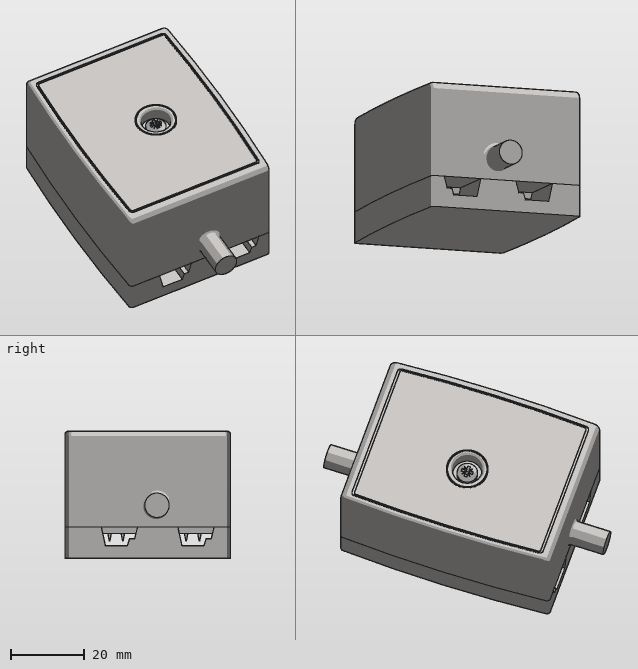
import cadquery as cq
import math


LENGTH = 60.0
MID_WIDTH = 44.97
END_WIDTH = 43.0
HEIGHT = 34.5
SPLIT_Z = 8.5
RIM_RADIUS = 1.0
END_EDGE_RADIUS = 2.0

BULGE = (MID_WIDTH - END_WIDTH) / 2
SIDE_RADIUS = ((LENGTH / 2) ** 2 + BULGE**2) / (2 * BULGE)
SIDE_CENTRE_OFFSET = SIDE_RADIUS - MID_WIDTH / 2

AXIS_Y = 2.5

OVERALL_LENGTH = 80.0
STUB_DIAMETER = 6.6
STUB_Z = 14.4
STUB_ROOT_RADIUS = 0.85

LABEL_THICKNESS = 0.5
RECESS_END_MARGIN = 2.65
RECESS_SIDE_MARGIN = 1.8
RECESS_CORNER_RADIUS = 1.0
LABEL_END_GAP = 0.7
LABEL_SIDE_GAP = 0.5
LABEL_CORNER_RADIUS = 0.5
LABEL_HOLE_DIAMETER = 11.3
RECESS_FLOOR_Z = HEIGHT - LABEL_THICKNESS

COLLAR_DIAMETER = 10.67
SCREW_RECESS_DIAMETER = 8.0
SCREW_RECESS_DEPTH = 3.8
COLLAR_MOUTH_RADIUS = 0.95
HEAD_SEAT_Z = HEIGHT - SCREW_RECESS_DEPTH

HEAD_DIAMETER = 5.6
HEAD_RIM_HEIGHT = 1.2
HEAD_HEIGHT = 2.4
SHANK_DIAMETER = 3.0
SHANK_TIP_Z = 4.0
CROSS_LENGTH = 4.0
CROSS_BOTTOM_LENGTH = 0.8
CROSS_WIDTH = 0.8
CROSS_DEPTH = 1.4
TICK_INNER_RADIUS = 0.8
TICK_OUTER_RADIUS = 1.6
TICK_WIDTH = 0.08
TICK_DEPTH = 0.5

SLOT_EDGES_Y = (18.0, -2.75)
SLOT_TOP_WIDTH = 10.6
SLOT_FLOOR_Z = 3.5
SLOT_STEP_Z = 5.35
SLOT_STEP_OUTER = 0.85
SLOT_STEP_INNER = 2.2
SLOT_FLOOR_START = 2.8
SLOT_FLOOR_END = 9.5
SLOT_NARROWING = 0.8

TONGUE_LENGTH = 30.0
TONGUE_BOTTOM_Z = 6.75
PIN_OFFSETS = (4.0, 7.6)
PIN_ROOT_DIAMETER = 1.0
PIN_TIP_DIAMETER = 0.2
PIN_TIP_Z = 4.7


def bulged_plate(end_margin, side_margin, bottom_z, top_z):
    """Plate with straight ends and bulged sides, set in from the box outline by the margins."""
    half_length = LENGTH / 2 - end_margin
    radius = SIDE_RADIUS - side_margin
    half_mid_width = MID_WIDTH / 2 - side_margin
    half_end_width = math.sqrt(radius**2 - half_length**2) - SIDE_CENTRE_OFFSET
    return (
        cq.Workplane("XY", origin=(0, 0, bottom_z))
        .moveTo(-half_length, -half_end_width)
        .threePointArc((0, -half_mid_width), (half_length, -half_end_width))
        .lineTo(half_length, half_end_width)
        .threePointArc((0, half_mid_width), (-half_length, half_end_width))
        .close()
        .extrude(top_z - bottom_z)
    )


def screw_cylinder(diameter, bottom_z, top_z):
    """Cylinder on the screw axis."""
    return cq.Workplane("XY", origin=(0, AXIS_Y, bottom_z)).circle(diameter / 2).extrude(top_z - bottom_z)


def slot_section(workplane, edge_y, narrowing):
    """Closed section of a slot; the narrowing moves only its sloped -Y wall inward."""
    return workplane.polyline(
        [
            (edge_y, SPLIT_Z),
            (edge_y - SLOT_STEP_OUTER, SLOT_STEP_Z),
            (edge_y - SLOT_STEP_INNER, SLOT_STEP_Z),
            (edge_y - SLOT_FLOOR_START, SLOT_FLOOR_Z),
            (edge_y - SLOT_FLOOR_END + narrowing, SLOT_FLOOR_Z),
            (edge_y - SLOT_TOP_WIDTH + narrowing, SPLIT_Z),
        ]
    ).close()


def make_slot(edge_y):
    """Space of one slot, narrowing slightly from the -X end to the +X end."""
    near_section = slot_section(cq.Workplane("YZ", origin=(-LENGTH / 2, 0, 0)), edge_y, 0)
    both_sections = slot_section(near_section.workplane(offset=LENGTH), edge_y, SLOT_NARROWING)
    return both_sections.loft(ruled=True)


def make_tongue(edge_y):
    """Block that fills the top of the middle of a slot, with its pins."""
    block = cq.Workplane("XY", origin=(0, edge_y - SLOT_TOP_WIDTH / 2, TONGUE_BOTTOM_Z)).box(
        TONGUE_LENGTH, 2 * SLOT_TOP_WIDTH, SPLIT_Z - TONGUE_BOTTOM_Z, centered=(True, True, False)
    )
    tongue = make_slot(edge_y).intersect(block)
    for offset in PIN_OFFSETS:
        pin = cq.Solid.makeCone(
            PIN_ROOT_DIAMETER / 2,
            PIN_TIP_DIAMETER / 2,
            TONGUE_BOTTOM_Z - PIN_TIP_Z,
            pnt=cq.Vector(0, edge_y - offset, TONGUE_BOTTOM_Z),
            dir=cq.Vector(0, 0, -1),
        )
        tongue = tongue.union(cq.Workplane(pin))
    return tongue


def make_base():
    base = bulged_plate(0, 0, 0, SPLIT_Z).edges("|Z").fillet(RIM_RADIUS)
    for edge_y in SLOT_EDGES_Y:
        base = base.cut(make_slot(edge_y))
    return base.cut(screw_cylinder(SHANK_DIAMETER, SHANK_TIP_Z, SPLIT_Z))


def cover_shell():
    """Outside of the cover: rounded end edges, then one round along the rim of each bulged side."""
    block = bulged_plate(0, 0, SPLIT_Z, HEIGHT)
    block = block.faces(">Z").edges("|Y").fillet(END_EDGE_RADIUS)
    side_rims = block.faces("<Y or >Y").edges("not <Z")
    return side_rims.fillet(RIM_RADIUS)


def make_stub(direction):
    """Stub on one end; direction is -1 or 1 along X. Its root flares into the end wall."""
    radius = STUB_DIAMETER / 2
    root_radius = radius + STUB_ROOT_RADIUS
    fillet_sag = STUB_ROOT_RADIUS * (1 - math.sqrt(0.5))
    wall_x = LENGTH / 2
    inner_x = wall_x - RIM_RADIUS
    profile = (
        cq.Workplane("XY")
        .moveTo(inner_x, 0)
        .lineTo(inner_x, root_radius)
        .lineTo(wall_x, root_radius)
        .threePointArc(
            (wall_x + fillet_sag, radius + fillet_sag),
            (wall_x + STUB_ROOT_RADIUS, radius),
        )
        .lineTo(OVERALL_LENGTH / 2, radius)
        .lineTo(OVERALL_LENGTH / 2, 0)
        .close()
    )
    stub = profile.revolve(360, (0, 0, 0), (1, 0, 0))
    if direction < 0:
        stub = stub.mirror("YZ")
    return stub.translate((0, AXIS_Y, STUB_Z))


def make_collar():
    """Collar that rises through the label and opens into the screw recess with a round mouth."""
    collar = screw_cylinder(COLLAR_DIAMETER, HEAD_SEAT_Z, HEIGHT)
    recess = screw_cylinder(SCREW_RECESS_DIAMETER, HEAD_SEAT_Z, HEIGHT)
    collar = collar.cut(recess)
    mouth = collar.edges(cq.selectors.RadiusNthSelector(0)).edges(">Z")
    return mouth.fillet(COLLAR_MOUTH_RADIUS)


def make_cover():
    cover = cover_shell()
    label_recess = bulged_plate(RECESS_END_MARGIN, RECESS_SIDE_MARGIN, RECESS_FLOOR_Z, HEIGHT)
    cover = cover.cut(label_recess.edges("|Z").fillet(RECESS_CORNER_RADIUS))
    cover = cover.cut(screw_cylinder(COLLAR_DIAMETER, HEAD_SEAT_Z, HEIGHT)).union(make_collar())
    cover = cover.cut(screw_cylinder(SHANK_DIAMETER, SPLIT_Z, HEAD_SEAT_Z))
    for direction in (-1, 1):
        cover = cover.union(make_stub(direction))
    for edge_y in SLOT_EDGES_Y:
        cover = cover.union(make_tongue(edge_y))
    return cover


def make_label():
    label = bulged_plate(
        RECESS_END_MARGIN + LABEL_END_GAP,
        RECESS_SIDE_MARGIN + LABEL_SIDE_GAP,
        RECESS_FLOOR_Z,
        HEIGHT,
    )
    label = label.edges("|Z").fillet(LABEL_CORNER_RADIUS)
    return label.cut(screw_cylinder(LABEL_HOLE_DIAMETER, RECESS_FLOOR_Z, HEIGHT))


def screw_blank():
    """Domed head on a plain shank."""
    head_radius = HEAD_DIAMETER / 2
    dome_height = HEAD_HEIGHT - HEAD_RIM_HEIGHT
    dome_radius = (head_radius**2 + dome_height**2) / (2 * dome_height)
    mid_radius = head_radius / 2
    mid_drop = dome_radius - math.sqrt(dome_radius**2 - mid_radius**2)
    shank_length = HEAD_SEAT_Z - SHANK_TIP_Z
    profile = (
        cq.Workplane("XZ")
        .moveTo(0, -shank_length)
        .lineTo(SHANK_DIAMETER / 2, -shank_length)
        .lineTo(SHANK_DIAMETER / 2, 0)
        .lineTo(head_radius, 0)
        .lineTo(head_radius, HEAD_RIM_HEIGHT)
        .threePointArc((mid_radius, HEAD_HEIGHT - mid_drop), (0, HEAD_HEIGHT))
        .close()
    )
    return profile.revolve(360, (0, 0, 0), (0, 1, 0))


def cross_arm():
    """Wedge for one bar of the cross, with ends that slope in toward the bottom."""
    half_top = CROSS_LENGTH / 2
    half_bottom = CROSS_BOTTOM_LENGTH / 2
    wedge = (
        cq.Workplane("XZ", origin=(0, CROSS_WIDTH / 2, 0))
        .polyline(
            [
                (-half_top, HEAD_HEIGHT),
                (half_top, HEAD_HEIGHT),
                (half_bottom, HEAD_HEIGHT - CROSS_DEPTH),
                (-half_bottom, HEAD_HEIGHT - CROSS_DEPTH),
            ]
        )
        .close()
        .extrude(CROSS_WIDTH)
    )
    return wedge


def make_screw():
    screw = screw_blank()
    tick = cq.Workplane("XY", origin=(0, 0, HEAD_HEIGHT - TICK_DEPTH)).box(
        TICK_OUTER_RADIUS - TICK_INNER_RADIUS, TICK_WIDTH, TICK_DEPTH, centered=(True, True, False)
    )
    tick = tick.translate(((TICK_INNER_RADIUS + TICK_OUTER_RADIUS) / 2, 0, 0))
    for quarter in range(4):
        screw = screw.cut(tick.rotate((0, 0, 0), (0, 0, 1), 45 + 90 * quarter))
    for angle in (0, 90):
        screw = screw.cut(cross_arm().rotate((0, 0, 0), (0, 0, 1), angle))
    return screw.translate((0, AXIS_Y, HEAD_SEAT_Z))


base = make_base()
cover = make_cover()
label = make_label()
screw = make_screw()

result = cq.Compound.makeCompound([base.val(), cover.val(), label.val(), screw.val()])